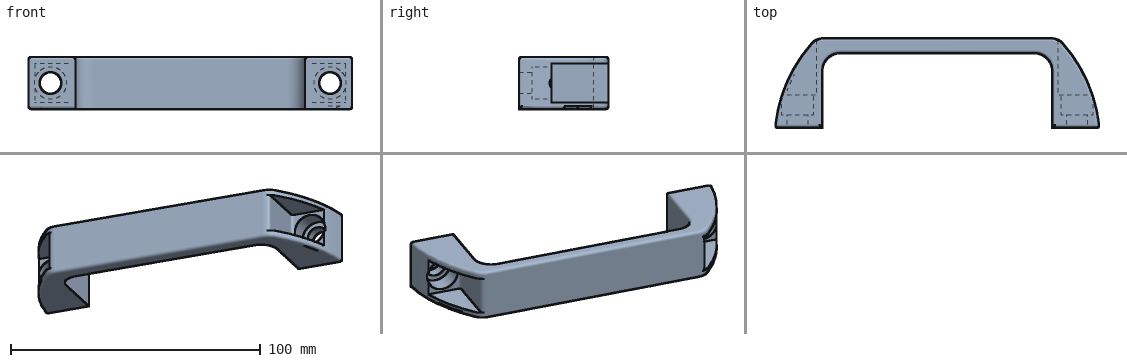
import cadquery as cq
import math

length = 129.8
depth = 36.0
height = 21.0

bar_thickness = 6.1
opening_length = 92.0
inner_corner_radius = 7.0

grip_flat_length = 96.7
flank_bulge = 3.4
flank_overhang = 0.12
outer_corner_radius = 6.5

edge_radius = 1.3
foot_corner_radius = 1.0

hole_diameter = 8.6
hole_spacing = 112.0
counterbore_diameter = 13.0
counterbore_seat = 5.2
recess_height = 15.5
recess_floor = 13.1
recess_wall_spacing = 96.6
recess_floor_radius = 1.0
recess_mouth_radius = 1.3

half_length = length / 2
half_height = height / 2
opening_depth = depth - bar_thickness

pick = 0.6


def box_around(x_range, y_range, z_range):
    """Selector for everything centred inside the given ranges."""
    corners = zip(x_range, y_range, z_range)
    return cq.selectors.BoxSelector(*corners)


def make_flank(front_edge_rounded):
    """Right half of the outer shape, before the opening is cut."""
    half_flat = grip_flat_length / 2
    half_base = half_length + flank_overhang

    run = half_base - half_flat
    chord = math.hypot(run, depth)
    middle_x = (half_base + half_flat) / 2 + flank_bulge * depth / chord
    middle_y = depth / 2 + flank_bulge * run / chord

    flank = (
        cq.Workplane("XY", origin=(0, 0, -half_height))
        .lineTo(0, depth)
        .lineTo(half_flat, depth)
        .threePointArc((middle_x, middle_y), (half_base, 0))
        .close()
        .extrude(height)
    )
    outer_corner = box_around(
        (half_flat - pick, half_flat + pick),
        (depth - pick, depth + pick),
        (-pick, pick),
    )
    foot_corner = box_around((half_base - pick, half_base + pick), (-pick, pick), (-pick, pick))
    flank = flank.edges(outer_corner).fillet(outer_corner_radius)

    rounded_foot = flank.edges(foot_corner).fillet(foot_corner_radius)
    if front_edge_rounded:
        front_and_side = box_around((pick, length), (-pick, depth - pick), (-height, pick - half_height))
        return rounded_foot.edges(front_and_side).fillet(edge_radius)

    side_edge = box_around((pick, length), (pick, depth - pick), (-height, pick - half_height))
    rounded_side = flank.edges(side_edge).fillet(edge_radius)
    return rounded_side.intersect(rounded_foot)


def make_body():
    """U-shaped handle with arched flanks and rounded edges.

    The lower edges of the opening and of the +X foot face stay sharp.
    """
    left_flank = make_flank(front_edge_rounded=True).mirror("YZ")
    right_flank = make_flank(front_edge_rounded=False)
    opening = (
        cq.Workplane("XY")
        .box(opening_length, 2 * opening_depth, height)
        .edges("|Z and >Y")
        .fillet(inner_corner_radius)
    )
    body = left_flank.union(right_flank).cut(opening).clean()
    return body.faces(">Z").edges().fillet(edge_radius)


def cut_screw_seat(body, side):
    """Recess, counterbore and through hole at one end; side is -1 or 1."""
    wall_x = side * recess_wall_spacing / 2
    hole_x = side * hole_spacing / 2

    recess = (
        cq.Workplane("XY")
        .box(half_length, depth, recess_height)
        .translate((wall_x + side * half_length / 2, recess_floor + depth / 2, 0))
        .edges("|Z and <Y")
        .edges("<X" if side > 0 else ">X")
        .fillet(recess_floor_radius)
    )
    body = body.cut(recess)
    mouth = box_around(
        (wall_x - pick, wall_x + pick),
        (opening_depth, depth),
        (-pick, pick),
    )
    body = body.edges(mouth).fillet(recess_mouth_radius)

    hole = cq.Workplane("XZ", origin=(hole_x, 0, 0)).circle(hole_diameter / 2).extrude(-depth)
    counterbore = (
        cq.Workplane("XZ", origin=(hole_x, counterbore_seat, 0))
        .circle(counterbore_diameter / 2)
        .extrude(-depth / 2)
    )
    return body.cut(hole).cut(counterbore)


result = make_body()
for end in (-1, 1):
    result = cut_screw_seat(result, end)